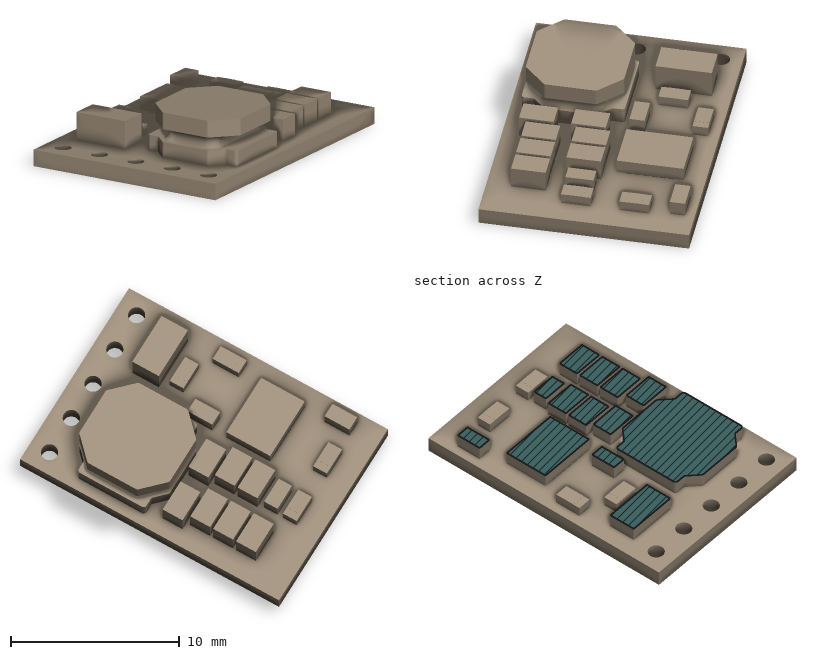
import cadquery as cq

BOARD_WIDTH = 12.7
BOARD_LENGTH = 17.78
BOARD_THICKNESS = 1.02

HOLE_DIAMETER = 1.02
HOLE_COUNT = 5
HOLE_PITCH = 2.54
HOLE_EDGE_DISTANCE = HOLE_PITCH / 2

RESISTOR = (1.79, 0.94, 0.65, 0.47)
SMALL_CAPACITOR = (1.7, 0.92, 0.9, 0.3)
MEDIUM_CAPACITOR = (2.09, 1.36, 1.36, 0.5)
LARGE_CAPACITOR = (3.4, 1.82, 1.75, 0.5)
OVERCOAT_THICKNESS = 0.01

RESISTORS_ALONG_X = [(-2.74, 6.88), (0.78, 6.88), (-3.13, -3.2)]
RESISTORS_CROSSWISE = [(-5.21, -1.3)]
SMALL_CAPACITORS_ALONG_X = [(0.82, 5.57)]
SMALL_CAPACITORS_CROSSWISE = [(-5.31, 6.28), (-1.47, -0.88)]
CAPACITOR_ROW_PITCH = 1.57
RIGHT_COLUMN_TOP = (3.82, 5.74)
RIGHT_COLUMN_COUNT = 3
LEFT_COLUMN_TOP = (0.81, 4.08)
LEFT_COLUMN_COUNT = 2
MEDIUM_CAPACITORS_BY_INDUCTOR = [(1.14, 0.9), (4.27, 0.97)]
LARGE_CAPACITOR_CENTRE = (-3.48, -5.06)

CONTROLLER_CENTRE = (-3.04, 2.44)
CONTROLLER_WIDTH = 4.04
CONTROLLER_LENGTH = 3.0
CONTROLLER_TOP = 0.9
CONTROLLER_STANDOFF = 0.05
PAD_COUNT = 6
PAD_PITCH = 0.5
PAD_WIDTH = 0.3
PAD_DEPTH = 0.4
PAD_HEIGHT = 0.2

INDUCTOR_CENTRE = (2.53, -3.06)
INDUCTOR_HEIGHT = 2.8
FLANGE_WIDTH = 5.94
FLANGE_LENGTH = 6.2
FLANGE_CORNER_CUT = 1.4
LOWER_FLANGE_HEIGHT = 0.97
UPPER_FLANGE_HEIGHT = 1.04
BASE_WIDTH = 6.24
BASE_LENGTH = 4.64
INDUCTOR_EDGE_RADIUS = 0.2
CORE_WIDTH = 3.94
CORE_LENGTH = 5.74
CORE_CORNER_RADIUS = 0.85
CORE_WAIST_DEPTH = 0.25


def make_board():
    hole_row_y = -BOARD_LENGTH / 2 + HOLE_EDGE_DISTANCE
    return (
        cq.Workplane("XY")
        .box(BOARD_WIDTH, BOARD_LENGTH, BOARD_THICKNESS, centered=(True, True, False))
        .faces(">Z")
        .workplane(origin=(0, hole_row_y, 0))
        .rarray(HOLE_PITCH, 1, HOLE_COUNT, 1)
        .hole(HOLE_DIAMETER)
    )


def block(centre, length, width, bottom, top):
    """Plain block; bottom and top are heights above the board surface."""
    return (
        cq.Workplane("XY", origin=(centre[0], centre[1], BOARD_THICKNESS + bottom))
        .box(length, width, top - bottom, centered=(True, True, False))
    )


def chip_block(centre, offset, length, width, bottom, top, crosswise):
    """Block shifted by offset along the chip's own long direction."""
    x, y = centre
    if crosswise:
        return block((x, y + offset), width, length, bottom, top)
    return block((x + offset, y), length, width, bottom, top)


def make_resistor(centre, crosswise):
    """One plain block with a thin overcoat between the end terminals."""
    length, width, height, terminal = RESISTOR
    substrate_top = height - OVERCOAT_THICKNESS
    coat_length = length - 2 * terminal
    return [
        chip_block(centre, 0, length, width, 0, substrate_top, crosswise),
        chip_block(centre, 0, coat_length, width, substrate_top, height, crosswise),
    ]


def make_capacitor(kind, centre, crosswise):
    """Ceramic body between two flush end terminals, as three touching blocks."""
    length, width, height, terminal = kind
    terminal_offset = (length - terminal) / 2
    body_length = length - 2 * terminal
    return [
        chip_block(centre, 0, body_length, width, 0, height, crosswise),
        chip_block(centre, -terminal_offset, terminal, width, 0, height, crosswise),
        chip_block(centre, terminal_offset, terminal, width, 0, height, crosswise),
    ]


def column(top_centre, count):
    """Centres of a column of chips running toward -Y."""
    x, y = top_centre
    return [(x, y - row * CAPACITOR_ROW_PITCH) for row in range(count)]


def make_resistors():
    blocks = []
    for centre in RESISTORS_ALONG_X:
        blocks += make_resistor(centre, crosswise=False)
    for centre in RESISTORS_CROSSWISE:
        blocks += make_resistor(centre, crosswise=True)
    return blocks


def make_capacitors():
    medium_centres = column(RIGHT_COLUMN_TOP, RIGHT_COLUMN_COUNT)
    medium_centres += column(LEFT_COLUMN_TOP, LEFT_COLUMN_COUNT)
    medium_centres += MEDIUM_CAPACITORS_BY_INDUCTOR
    groups = [
        (SMALL_CAPACITOR, SMALL_CAPACITORS_ALONG_X, False),
        (SMALL_CAPACITOR, SMALL_CAPACITORS_CROSSWISE, True),
        (MEDIUM_CAPACITOR, medium_centres, False),
        (LARGE_CAPACITOR, [LARGE_CAPACITOR_CENTRE], False),
    ]
    blocks = []
    for kind, centres, crosswise in groups:
        for centre in centres:
            blocks += make_capacitor(kind, centre, crosswise)
    return blocks


def make_controller():
    """Package body just off the board, with pads flush in its front and back sides."""
    x, y = CONTROLLER_CENTRE
    blocks = [
        block((x, y), CONTROLLER_WIDTH, CONTROLLER_LENGTH, CONTROLLER_STANDOFF, CONTROLLER_TOP)
    ]
    pad_offset_y = (CONTROLLER_LENGTH - PAD_DEPTH) / 2
    for index in range(PAD_COUNT):
        pad_x = x + (index - (PAD_COUNT - 1) / 2) * PAD_PITCH
        for side in (-1, 1):
            pad_centre = (pad_x, y + side * pad_offset_y)
            blocks.append(block(pad_centre, PAD_WIDTH, PAD_DEPTH, 0, PAD_HEIGHT))
    return blocks


def make_flange(bottom, top):
    flange = block(INDUCTOR_CENTRE, FLANGE_WIDTH, FLANGE_LENGTH, bottom, top)
    return flange.edges("|Z").chamfer(FLANGE_CORNER_CUT)


def make_core(bottom, top):
    """Rounded rectangular post with a concave arc swept around its sides."""
    half_gap = (top - bottom) / 2
    x, y = INDUCTOR_CENTRE
    mid_z = BOARD_THICKNESS + bottom + half_gap
    side_x = x - CORE_WIDTH / 2
    post = (
        block(INDUCTOR_CENTRE, CORE_WIDTH, CORE_LENGTH, bottom, top)
        .edges("|Z")
        .fillet(CORE_CORNER_RADIUS)
    )
    path = post.faces("<Z").wires().val().translate(cq.Vector(0, 0, half_gap))
    groove = (
        cq.Workplane("XZ", origin=(0, y, 0))
        .moveTo(side_x, mid_z - half_gap)
        .threePointArc((side_x + CORE_WAIST_DEPTH, mid_z), (side_x, mid_z + half_gap))
        .close()
        .sweep(cq.Workplane(path))
    )
    return post.cut(groove)


def make_inductor():
    upper_flange_bottom = INDUCTOR_HEIGHT - UPPER_FLANGE_HEIGHT
    base = block(INDUCTOR_CENTRE, BASE_WIDTH, BASE_LENGTH, 0, LOWER_FLANGE_HEIGHT)
    lower_flange = (
        make_flange(0, LOWER_FLANGE_HEIGHT)
        .union(base)
        .edges("|Z")
        .fillet(INDUCTOR_EDGE_RADIUS)
    )
    upper_flange = (
        make_flange(upper_flange_bottom, INDUCTOR_HEIGHT)
        .edges("|Z")
        .fillet(INDUCTOR_EDGE_RADIUS)
    )
    core = make_core(LOWER_FLANGE_HEIGHT, upper_flange_bottom)
    return lower_flange.union(core).union(upper_flange)


components = make_resistors() + make_capacitors() + make_controller() + [make_inductor()]
assembled = make_board().val().fuse(*[component.val() for component in components])
result = cq.Workplane("XY").newObject(assembled.Solids())